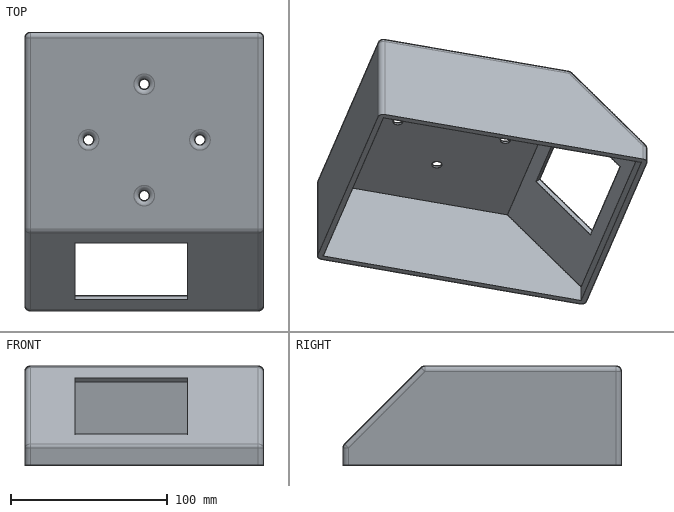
import cadquery as cq
import math

width = 152.4
length = 177.8
height = 63.5
front_height = 12.6
wall = 3.5
edge_radius = 3.5

slope_run = height - front_height
slope_angle = 45.0

window_width = 71.7
window_length = 50.9
window_left = 32.0
window_front = 7.3

hole_count = 4
hole_circle_radius = 35.5
hole_circle_y = 109.2
hole_diameter = 6.4
mouth_radius = 3.4

center_x = width / 2


def side_profile(inset):
    """Side outline in (Y, Z), moved inward by inset on all sides but the base."""
    corner_shift = inset * math.tan(math.radians(slope_angle / 2))
    return [
        (inset, 0),
        (length - inset, 0),
        (length - inset, height - inset),
        (slope_run + corner_shift, height - inset),
        (inset, front_height - corner_shift),
    ]


def wedge(inset):
    """Wedge-shaped solid moved inward by inset, standing on the base plane."""
    return (
        cq.Workplane("YZ", origin=(inset, 0, 0))
        .polyline(side_profile(inset))
        .close()
        .extrude(width - 2 * inset)
    )


outer = wedge(0).edges("not(<Z)").fillet(edge_radius)
shell = outer.cut(wedge(wall))

window_half_run = window_length / 2 * math.cos(math.radians(slope_angle))
window_y = window_front + window_half_run
window_plane = cq.Plane(
    origin=(window_left + window_width / 2, window_y, front_height + window_y),
    xDir=(1, 0, 0),
    normal=(0, -1, 1),
)
window = cq.Workplane(window_plane).rect(window_width, window_length).extrude(wall * 2, both=True)

drilled = (
    shell.cut(window)
    .copyWorkplane(cq.Workplane("XY", origin=(center_x, hole_circle_y, height)))
    .polarArray(hole_circle_radius, 0, 360, hole_count)
    .hole(hole_diameter, depth=wall * 2)
)
result = drilled.faces(">Z").edges("%CIRCLE").fillet(mouth_radius)